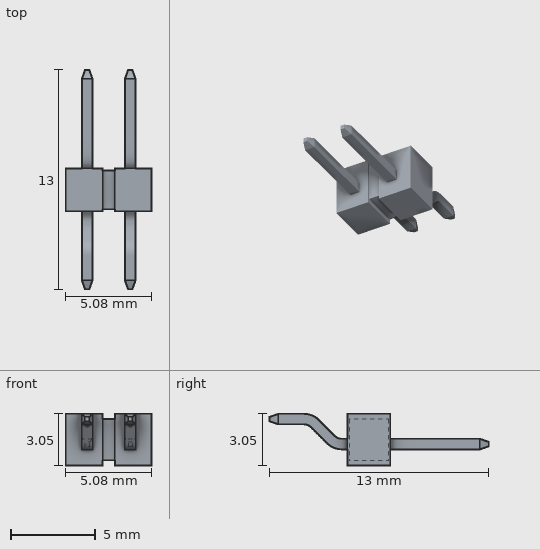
import cadquery as cq
import math

pin_count = 2
pitch = 2.54
body_depth = 2.54
body_height = 3.05
web_width = 0.73
web_inset_y = 0.12
web_inset_z = 0.31
block_width = pitch - web_width / 2

pin_size = 0.63
tip_size = 0.26
tip_length = 0.53
total_length = 12.95
rear_reach = 5.81
front_reach = total_length - body_depth - rear_reach

pin_drop = 1.48
bend_angle = math.radians(45)
bend_radius = 0.6 + pin_size / 2
bend_start = 0.32

top_z = body_height / 2
front_y = -body_depth / 2
rear_y = body_depth / 2
leg_z = top_z - pin_size / 2
shaft_z = leg_z - pin_drop
rear_shoulder_y = rear_y + rear_reach - tip_length
front_shoulder_y = front_y - front_reach + tip_length


def make_housing():
    """Two end blocks, flush with the outer sides, on a web core."""
    span = pin_count * pitch
    housing = cq.Workplane("XY").box(
        span - 2 * block_width, body_depth - 2 * web_inset_y, body_height - 2 * web_inset_z
    )
    for side in (-1, 1):
        block = cq.Workplane("XY").box(block_width, body_depth, body_height)
        housing = housing.union(block.translate((side * (span - block_width) / 2, 0, 0)))
    return housing


def make_tip(shoulder_y, z, direction):
    """Tapered tip pointing along +Y (direction 1) or -Y (direction -1)."""
    plane = cq.Plane(origin=(0, shoulder_y, z), xDir=(1, 0, 0), normal=(0, direction, 0))
    return (
        cq.Workplane(plane)
        .rect(pin_size, pin_size)
        .workplane(offset=tip_length)
        .rect(tip_size, tip_size)
        .loft(ruled=True)
    )


def make_pin():
    """Square wire swept along its centre line, with a tip at each end."""
    arc_run = bend_radius * math.sin(bend_angle)
    arc_rise = bend_radius * (1 - math.cos(bend_angle))
    mid_run = bend_radius * math.sin(bend_angle / 2)
    mid_rise = bend_radius * (1 - math.cos(bend_angle / 2))
    slope_rise = pin_drop - 2 * arc_rise
    slope_run = slope_rise / math.tan(bend_angle)
    lower_bend_y = front_y - bend_start
    upper_bend_y = lower_bend_y - 2 * arc_run - slope_run

    centre_line = (
        cq.Workplane("YZ")
        .moveTo(rear_shoulder_y, shaft_z)
        .lineTo(lower_bend_y, shaft_z)
        .threePointArc(
            (lower_bend_y - mid_run, shaft_z + mid_rise),
            (lower_bend_y - arc_run, shaft_z + arc_rise),
        )
        .lineTo(upper_bend_y + arc_run, leg_z - arc_rise)
        .threePointArc(
            (upper_bend_y + mid_run, leg_z - mid_rise),
            (upper_bend_y, leg_z),
        )
        .lineTo(front_shoulder_y, leg_z)
    )
    wire = (
        cq.Workplane("XZ", origin=(0, rear_shoulder_y, shaft_z))
        .rect(pin_size, pin_size)
        .sweep(centre_line)
    )
    rear_tip = make_tip(rear_shoulder_y, shaft_z, 1)
    front_tip = make_tip(front_shoulder_y, leg_z, -1)
    return wire.union(rear_tip).union(front_tip)


result = make_housing()
pin = make_pin()
for index in range(pin_count):
    pin_x = (index - (pin_count - 1) / 2) * pitch
    result = result.union(pin.translate((pin_x, 0, 0)))